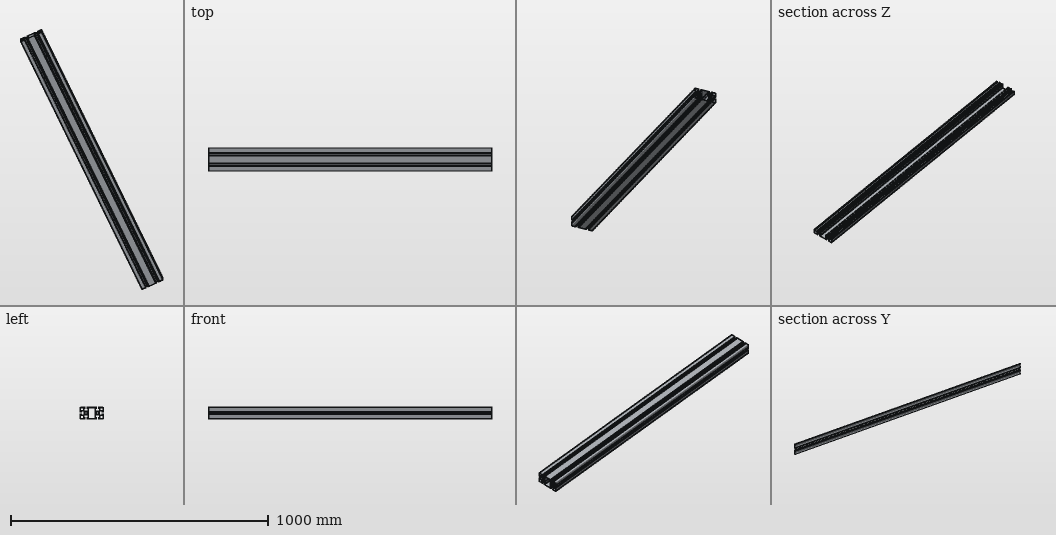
import cadquery as cq

LENGTH = 1100.0
WIDTH = 90.0
HEIGHT = 45.0
OUTER_CORNER_RADIUS = 2.5
CELL_CENTRE = WIDTH / 4

SLOT_OPENING = 8.5
SLOT_EDGE_CHAMFER = 0.3
SLOT_LIP = 4.25
SLOT_CAVITY_WIDTH = 14.25
SLOT_CAVITY_CHAMFER = 2.0
SLOT_DEPTH = 15.5
FLOOR_GROOVE_WIDTH = 3.0
FLOOR_GROOVE_DEPTH = 0.3

OUTER_WALL = 2.0
WEB = 2.0
HOLLOW_FILLET = 0.75
BORE_DIAMETER = 9.0

HOLLOW_START = SLOT_CAVITY_WIDTH / 2 + WEB
HOLLOW_SIZE = HEIGHT / 2 - OUTER_WALL - HOLLOW_START
HOLLOW_CENTRE = HOLLOW_START + HOLLOW_SIZE / 2
CHAMBER_WIDTH = 2 * (CELL_CENTRE - SLOT_CAVITY_WIDTH / 2 - WEB)
CHAMBER_HEIGHT = HEIGHT - 2 * OUTER_WALL


def section(y=0.0, z=0.0):
    """YZ sketch plane on the -X end of the bar, with its origin at (y, z)."""
    return cq.Workplane("YZ", origin=(-LENGTH / 2, y, z))


def bar_blank():
    return section().rect(WIDTH, HEIGHT).extrude(LENGTH).edges("|X").fillet(OUTER_CORNER_RADIUS)


def top_slot():
    """T-slot cutter for the top face of a cell centred on the X axis."""
    face = HEIGHT / 2
    floor = face - SLOT_DEPTH
    half_opening = SLOT_OPENING / 2
    half_cavity = SLOT_CAVITY_WIDTH / 2
    right_half = [
        (half_opening + SLOT_EDGE_CHAMFER, face),
        (half_opening, face - SLOT_EDGE_CHAMFER),
        (half_opening, face - SLOT_LIP),
        (half_cavity, face - SLOT_LIP),
        (half_cavity, floor + SLOT_CAVITY_CHAMFER),
        (half_cavity - SLOT_CAVITY_CHAMFER, floor),
        (FLOOR_GROOVE_WIDTH / 2, floor),
    ]
    groove_bottom = (0, floor - FLOOR_GROOVE_DEPTH)
    left_half = [(-y, z) for y, z in reversed(right_half)]
    return section().polyline(right_half + [groove_bottom] + left_half).close().extrude(LENGTH)


def cell_slots(side):
    """Top, bottom and outward-facing slots of the cell on the given side (+1 or -1 along Y)."""
    slot = top_slot()
    cutters = []
    for angle in (0, 180, -90 * side):
        turned = slot.rotate((0, 0, 0), (1, 0, 0), angle)
        cutters.append(turned.translate((0, side * CELL_CENTRE, 0)))
    return cutters


def corner_hollow(side, level):
    """Square hollow in the outer corner of a cell, above (+1) or below (-1) its side slot."""
    hollow = section(side * (CELL_CENTRE + HOLLOW_CENTRE), level * HOLLOW_CENTRE)
    return hollow.rect(HOLLOW_SIZE, HOLLOW_SIZE).extrude(LENGTH).edges("|X").fillet(HOLLOW_FILLET)


def core_bore(side):
    return section(side * CELL_CENTRE).circle(BORE_DIAMETER / 2).extrude(LENGTH)


def middle_chamber():
    return section().rect(CHAMBER_WIDTH, CHAMBER_HEIGHT).extrude(LENGTH)


result = bar_blank().cut(middle_chamber())
for side in (1, -1):
    for slot_cutter in cell_slots(side):
        result = result.cut(slot_cutter)
    result = result.cut(core_bore(side))
    for level in (1, -1):
        result = result.cut(corner_hollow(side, level))